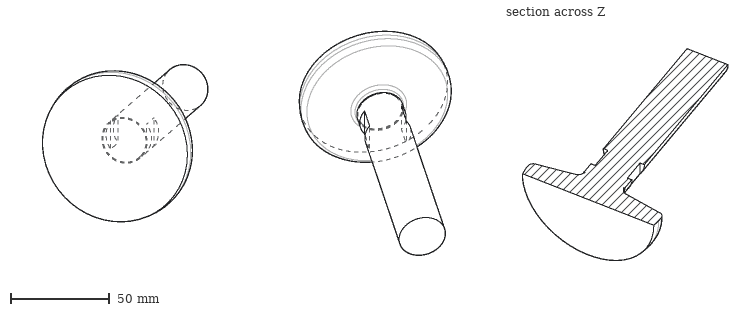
import cadquery as cq

total_length = 122.0
stem_diameter = 24.0

foot_diameter = 78.0
face_diameter = 76.9
rim_height = 4.0
shoulder_diameter = 77.7
shoulder_height = 9.4
shoulder_fillet = 2.9
neck_base_diameter = 26.4
neck_base_height = 13.5
neck_fillet = 2.7
neck_top_diameter = 22.9
foot_height = 16.6

flats_width = 19.0
flats_start = 23.9
flats_length = 12.6


def circular_edges(body, diameter, height):
    """Return the circular edges of the given diameter at the given height along Y."""
    tolerance = 0.01
    return [
        edge
        for edge in body.edges("%CIRCLE").vals()
        if abs(edge.radius() - diameter / 2) < tolerance
        and abs(edge.Center().y - height) < tolerance
    ]


def make_foot():
    foot = (
        cq.Workplane("XY")
        .lineTo(face_diameter / 2, 0)
        .lineTo(foot_diameter / 2, rim_height)
        .lineTo(shoulder_diameter / 2, shoulder_height)
        .lineTo(neck_base_diameter / 2, neck_base_height)
        .lineTo(neck_top_diameter / 2, foot_height)
        .lineTo(0, foot_height)
        .close()
        .revolve(360, (0, 0, 0), (0, 1, 0))
    )
    foot = foot.newObject(circular_edges(foot, shoulder_diameter, shoulder_height)).fillet(shoulder_fillet)
    return foot.newObject(circular_edges(foot, neck_base_diameter, neck_base_height)).fillet(neck_fillet)


def make_stem():
    stem = (
        cq.Workplane("XZ", origin=(0, foot_height, 0))
        .circle(stem_diameter / 2)
        .extrude(foot_height - total_length)
    )
    cut_depth = (stem_diameter - flats_width) / 2
    cut_offset = (stem_diameter + flats_width) / 4
    for side in (-1, 1):
        flat_cut = cq.Workplane("XY").box(cut_depth, flats_length, stem_diameter).translate(
            (side * cut_offset, flats_start + flats_length / 2, 0)
        )
        stem = stem.cut(flat_cut)
    return stem


result = make_foot().union(make_stem())